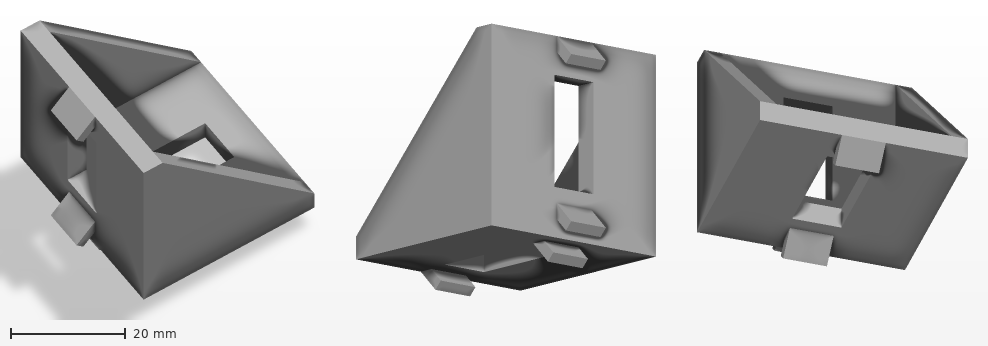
import cadquery as cq
import math

width = 38.0
leg = 36.0
plate_thickness = 4.0
wall_thickness = 3.0

slot_width = 9.0
slot_length = 20.0
slot_start = 9.0

tab_width = 8.0
tab_thickness = 2.0
tab_length = 5.5
tab_gap = 27.0

diagonal = math.sqrt(0.5)
tab_foot = tab_thickness / diagonal
tab_reach = tab_length * diagonal
tab_tip_step = tab_thickness * diagonal
tab_starts = (leg, leg - tab_gap - tab_foot)


def extrude_profile(points, thickness):
    """Extrude a closed (Y, Z) outline along X, centred on X = 0."""
    return cq.Workplane("YZ").polyline(points).close().extrude(thickness / 2, both=True)


def make_body():
    """Corner bracket: two plates joined by a sloping wall at each side."""
    outline = [
        (0, 0),
        (leg, 0),
        (leg, plate_thickness),
        (plate_thickness, leg),
        (0, leg),
    ]
    inner_edge = leg - plate_thickness
    cavity = cq.Workplane("XY").box(
        width - 2 * wall_thickness, inner_edge, inner_edge, centered=(True, False, False)
    ).translate((0, plate_thickness, plate_thickness))
    return extrude_profile(outline, width).cut(cavity)


def make_slot_cutters():
    """One slot through the upright plate and one through the base plate."""
    centered = (True, False, False)
    upright = cq.Workplane("XY").box(slot_width, plate_thickness, slot_length, centered=centered)
    base = cq.Workplane("XY").box(slot_width, slot_length, plate_thickness, centered=centered)
    return upright.translate((0, 0, slot_start)).union(base.translate((0, slot_start, 0)))


def tab_outline(start):
    """(Y, Z) outline of a tab on the upright plate, its foot ending at Z = start."""
    return [
        (0, start),
        (-tab_reach, start - tab_reach),
        (-tab_reach + tab_tip_step, start - tab_reach - tab_tip_step),
        (0, start - tab_foot),
    ]


result = make_body().cut(make_slot_cutters())
for tab_start in tab_starts:
    upright_tab = tab_outline(tab_start)
    base_tab = [(z, y) for y, z in upright_tab]
    result = result.union(extrude_profile(upright_tab, tab_width))
    result = result.union(extrude_profile(base_tab, tab_width))